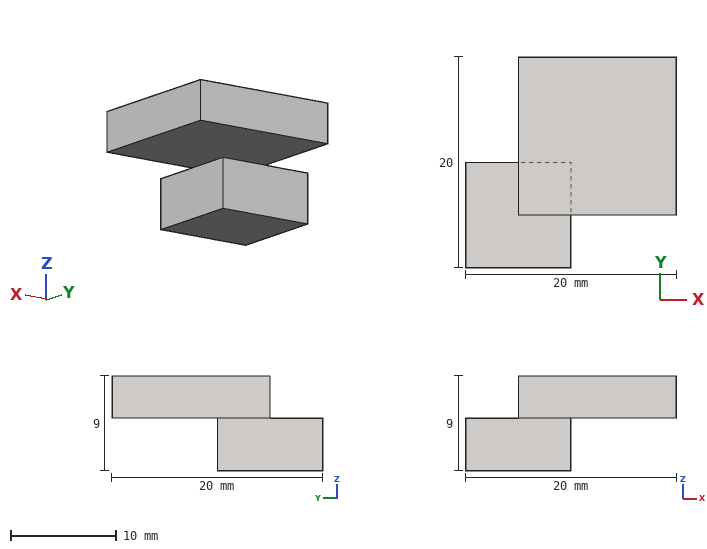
import cadquery as cq

base_side = 10.0
base_height = 5.0
plate_side = 15.0
plate_thickness = 4.0

plate_offset = base_side / 2


def make_base():
    """Square block with one bottom corner at the origin."""
    return cq.Workplane("XY").box(base_side, base_side, base_height, centered=False)


def make_plate():
    """Larger square plate resting on the base and overhanging it towards +X and +Y."""
    plate = cq.Workplane("XY").box(plate_side, plate_side, plate_thickness, centered=False)
    return plate.translate((plate_offset, plate_offset, base_height))


base = make_base()
plate = make_plate()

result = cq.Compound.makeCompound([base.val(), plate.val()])